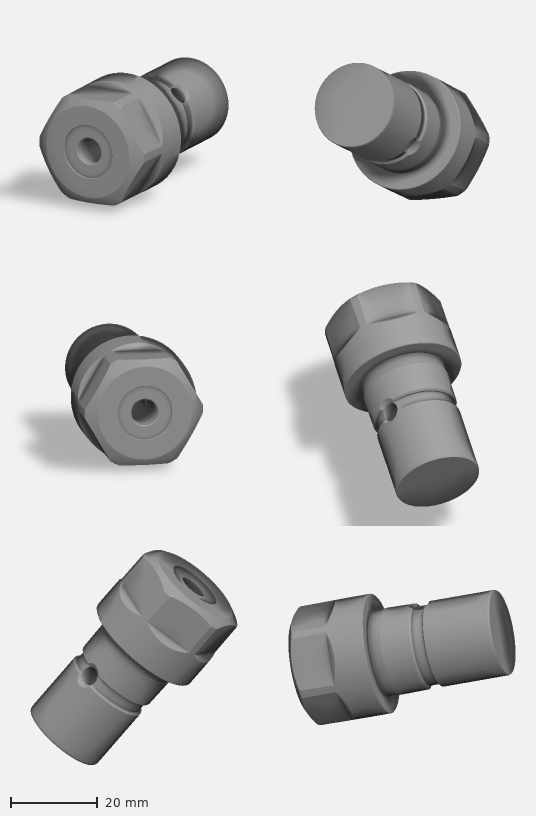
import cadquery as cq
import math

total_length = 48.31

nut_diameter = 28.0
nut_rear_y = 18.95
nut_rear_chamfer = 0.15
nut_band_y = 13.9
nut_front_diameter = 27.75
nut_face_radius = 11.0
nut_cone_angle = 30.0
nut_edge_round = 0.5

flat_count = 6
across_flats = 25.0
flat_end_y = 10.0

shank_radius = 10.0
shank_end_chamfer_length = 0.43
shank_end_chamfer_depth = 0.15
collar_front_radius = 10.16
collar_rear_radius = 10.04
neck_radius = 9.95
neck_flare_length = 0.5
neck_end_y = 21.85

groove_radius = 9.25
groove_front_y = 29.3
groove_front_chamfer_length = 0.4
groove_front_chamfer_depth = 0.35
groove_rear_y = 31.88
groove_rear_chamfer_length = 0.4

recess_radius = 6.35
recess_depth = 0.5
recess_chamfer = 0.1
bore_radius = 3.05
bore_chamfer = 0.25
bore_end_y = 14.0
socket_width = 5.0
socket_end_y = 24.0
drill_point_angle = 90.0

cross_hole_radius = 2.15
cross_hole_y = 30.85
cross_hole_angle = 45.0
countersink_radius = 3.05
countersink_angle = 90.0
cutter_overrun = 1.0


def make_body():
    """Revolve the outer outline of nut and shank about Y."""
    nut_radius = nut_diameter / 2
    front_radius = nut_front_diameter / 2
    cone_length = (front_radius - nut_face_radius) * math.tan(math.radians(nut_cone_angle))
    outline = (
        cq.Workplane("XY")
        .moveTo(0, 0)
        .lineTo(nut_face_radius, 0)
        .lineTo(front_radius, cone_length)
        .lineTo(nut_radius, nut_band_y)
        .lineTo(nut_radius, nut_rear_y - nut_rear_chamfer)
        .lineTo(nut_radius - nut_rear_chamfer, nut_rear_y)
        .lineTo(collar_front_radius, nut_rear_y)
        .lineTo(neck_radius, nut_rear_y + neck_flare_length)
        .lineTo(neck_radius, neck_end_y)
        .lineTo(collar_front_radius, neck_end_y)
        .lineTo(collar_rear_radius, groove_front_y - groove_front_chamfer_length)
        .lineTo(collar_rear_radius - groove_front_chamfer_depth, groove_front_y)
        .lineTo(groove_radius, groove_front_y)
        .lineTo(groove_radius, groove_rear_y)
        .lineTo(shank_radius, groove_rear_y + groove_rear_chamfer_length)
        .lineTo(shank_radius, total_length - shank_end_chamfer_length)
        .lineTo(shank_radius - shank_end_chamfer_depth, total_length)
        .lineTo(0, total_length)
        .close()
    )
    body = outline.revolve(360, (0, 0, 0), (0, 1, 0))
    cone_edges = cq.selectors.BoxSelector(
        (-nut_diameter, -cone_length, -nut_diameter),
        (nut_diameter, 2 * cone_length, nut_diameter),
    )
    return body.edges("%CIRCLE").edges(cone_edges).fillet(nut_edge_round)


def make_flat_cutter():
    """Material removed above one wrench flat, with its 45 degree run-out."""
    flat_z = across_flats / 2
    cutter_height = nut_diameter / 2
    return (
        cq.Workplane("YZ")
        .moveTo(0, flat_z)
        .lineTo(flat_end_y, flat_z)
        .lineTo(flat_end_y + cutter_height, flat_z + cutter_height)
        .lineTo(0, flat_z + cutter_height)
        .close()
        .extrude(nut_diameter / 2, both=True)
    )


def cut_wrench_flats(body):
    cutter = make_flat_cutter()
    for index in range(flat_count):
        angle = index * 360 / flat_count
        body = body.cut(cutter.rotate((0, 0, 0), (0, 1, 0), angle))
    return body


def make_bore():
    """Face recess and round bore as one revolved cutter."""
    return (
        cq.Workplane("XY")
        .moveTo(0, 0)
        .lineTo(recess_radius + recess_chamfer, 0)
        .lineTo(recess_radius, recess_chamfer)
        .lineTo(recess_radius, recess_depth)
        .lineTo(bore_radius + bore_chamfer, recess_depth)
        .lineTo(bore_radius, recess_depth + bore_chamfer)
        .lineTo(bore_radius, bore_end_y)
        .lineTo(0, bore_end_y)
        .close()
        .revolve(360, (0, 0, 0), (0, 1, 0))
    )


def make_socket():
    """Square socket, limited to the bore circle, ending in a drill point."""
    square = cq.Workplane("XY").box(socket_width, total_length, socket_width)
    point_length = bore_radius / math.tan(math.radians(drill_point_angle / 2))
    pointed_pin = (
        cq.Workplane("XY")
        .moveTo(0, bore_end_y)
        .lineTo(bore_radius, bore_end_y)
        .lineTo(bore_radius, socket_end_y)
        .lineTo(0, socket_end_y + point_length)
        .close()
        .revolve(360, (0, 0, 0), (0, 1, 0))
    )
    return pointed_pin.intersect(square.translate((0, total_length / 2, 0)))


def make_cross_hole():
    """Through hole countersunk at both ends, lying along X before it is turned."""
    flare = math.tan(math.radians(countersink_angle / 2))
    sink_x = shank_radius - (countersink_radius - cross_hole_radius) / flare
    outer_x = shank_radius + cutter_overrun
    outer_radius = cross_hole_radius + (outer_x - sink_x) * flare
    return (
        cq.Workplane("XY")
        .moveTo(-outer_x, 0)
        .lineTo(-outer_x, outer_radius)
        .lineTo(-sink_x, cross_hole_radius)
        .lineTo(sink_x, cross_hole_radius)
        .lineTo(outer_x, outer_radius)
        .lineTo(outer_x, 0)
        .close()
        .revolve(360, (0, 0, 0), (1, 0, 0))
        .rotate((0, 0, 0), (0, 1, 0), -cross_hole_angle)
        .translate((0, cross_hole_y, 0))
    )


result = cut_wrench_flats(make_body())
result = result.cut(make_bore()).cut(make_socket()).cut(make_cross_hole())